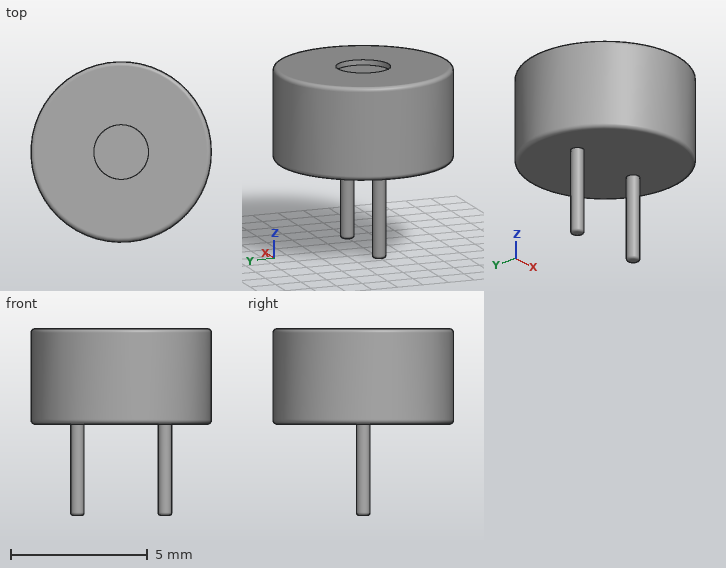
import cadquery as cq

body_diameter = 6.6
body_height = 3.5
body_edge_radius = 0.16

recess_diameter = 2.0
recess_depth = 0.2

overall_height = 6.83
pin_diameter = 0.5
pin_pitch = 3.2
pin_length = overall_height - body_height
pin_tip_radius = 0.1


def make_body():
    """Can with rounded top and bottom rims and a recessed top."""
    can = cq.Workplane("XY").circle(body_diameter / 2).extrude(body_height)
    can = can.edges().fillet(body_edge_radius)
    recess = (
        cq.Workplane("XY")
        .workplane(offset=body_height - recess_depth)
        .circle(recess_diameter / 2)
        .extrude(recess_depth)
    )
    return can.cut(recess)


def make_pin(x):
    """Pin from the underside of the can down to a rounded tip."""
    pin = cq.Workplane("XY").center(x, 0).circle(pin_diameter / 2).extrude(-pin_length)
    return pin.faces("<Z").edges().fillet(pin_tip_radius)


result = make_body()
for side in (-1, 1):
    result = result.union(make_pin(side * pin_pitch / 2))